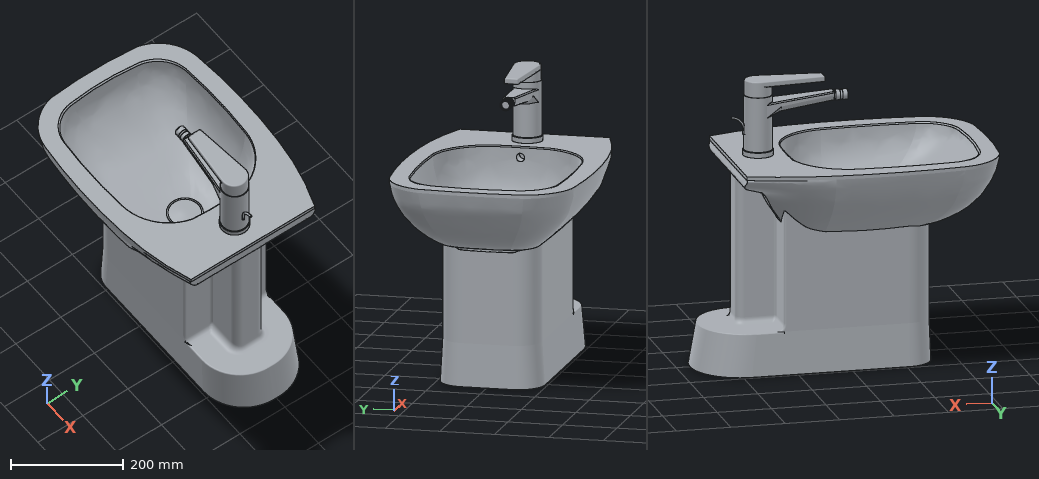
import cadquery as cq
import math


RIM_TOP = 385.0
RIM_BAND = 7.0
RIM_BACK = 479.0
RIM_HALF_WIDTH = 177.0
RIM_BACK_HALF_WIDTH = 138.0
RIM_CORNER = [(5.0, 96.0), (32.0, 143.0), (85.5, 169.0)]
SIDE_END = 323.0
SIDE_END_SHARE = 0.975
FLANK_X_SHARE = 0.52
FLANK_Y_SHARE = 0.64
BOWL_LEVELS = [
    (368.0, 2.0, 481.0, 175.5, 134.5),
    (357.0, 5.0, 476.5, 173.0, 121.0),
    (346.5, 8.0, 454.5, 169.0, 104.5),
    (334.0, 15.0, 435.0, 164.0, 82.5),
    (305.0, 31.5, 417.0, 142.5, 68.5),
    (291.0, 44.0, 408.0, 129.0, 67.0),
    (276.5, 61.5, 399.0, 113.0, 66.0),
    (258.0, 104.0, 384.0, 92.0, 49.5),
    (250.5, 117.5, 373.0, 77.0, 27.5),
]

BASIN_FRONT = 31.0
BASIN_BACK = 374.5
BASIN_HALF_OPENING = [
    (35.0, 71.0, 164),
    (54.0, 114.0, 142),
    (96.5, 136.0, 123),
    (181.5, 140.5, 90),
    (274.0, 138.0, 55),
    (341.5, 108.0, 38),
    (372.0, 55.0, 22),
]
DRAIN_X = 276.0
DRAIN_DIAMETER = 66.0
DRAIN_Z = 258.0
BASIN_LEVELS = [
    (0.0, 1.0, 1.0),
    (0.02, 0.985, 0.985),
    (0.3, 0.9, 0.95),
    (0.6, 0.68, 0.82),
    (0.85, 0.38, 0.55),
    (1.0, 0.0, 0.0),
]
OVERFLOW_DIAMETER = 15.0
OVERFLOW_Z = 364.5
OVERFLOW_DEPTH = 22.0

PEDESTAL_FRONT = 123.0
PEDESTAL_BACK = 398.5
PEDESTAL_HALF_WIDTH = 91.0
PEDESTAL_CORNER = 46.0
PEDESTAL_BACK_ROUND = 4.5
COLUMN_BACK = 471.0
COLUMN_HALF_WIDTH = 31.5
COLUMN_CORNER = 14.0
COLUMN_FOOT_FILLET = 14.0
PLINTH_TOP = 79.0
PLINTH_BACK = 534.5
PLINTH_BACK_FLAT = 5.5
PLINTH_EDGE_FILLET = 3.0
FLOOR_FRONT = 120.0
FLOOR_BACK = 549.0
FLOOR_HALF_WIDTH = 95.5
FLOOR_CORNER = 49.0

PLUG_DIAMETER = 60.0
DRAIN_THICKNESS = 6.5
PLUG_RISE = 4.5

TAP_X = 424.5
BASE_RING_DIAMETER = 55.0
BASE_RING_HEIGHT = 10.5
BASE_RING_CHAMFER = 1.0
TAP_DIAMETER = 52.0
TAP_TOP = 495.5
CAP_DIAMETER = 50.0
CAP_TOP = 525.0
LEVER_TIP = 303.5
LEVER_TIP_HALF_WIDTH = 13.0
LEVER_THICKNESS = 11.0
LEVER_ROUND = 3.0
SPOUT_SECTIONS = [
    (286.5, 11.5, 494.0, 487.5, 476.0),
    (386.5, 20.5, 485.0, 475.5, 462.0),
    (414.5, 23.5, 482.5, 456.0, 448.0),
]
SPOUT_EDGE = 2.0
NOZZLE_FRONT = 261.0
NOZZLE_LENGTH = 10.0
NOZZLE_BORE = 15.0
NOZZLE_BORE_DEPTH = 3.0
NOZZLE_DIAMETER = 20.0
NOZZLE_Z = 485.0
SWIVEL_NECK_DIAMETER = 18.0
SWIVEL_NECK_LENGTH = 4.5
SWIVEL_COLLAR_LENGTH = 8.0
SWIVEL_TAIL_DIAMETER = 16.0
ROD_DIAMETER = 4.5
ROD_X = 450.0
ROD_START_Z = 424.0
ROD_BEND_Z = 432.0
ROD_BEND_RADIUS = 23.0


def mirrored(points):
    return [(x, -y) for x, y in reversed(points)]


def arc_chain(points, height):
    """Chain of arcs: every second point is a joint, the ones between lie on the arcs."""
    chain = cq.Workplane("XY", origin=(0, 0, height)).moveTo(*points[0])
    for on_arc, joint in zip(points[1::2], points[2::2]):
        chain = chain.threePointArc(on_arc, joint)
    return chain


def loft(outlines, ruled=False):
    return cq.Workplane(cq.Solid.makeLoft([outline.val() for outline in outlines], ruled))


def bowl_outline(height, front, back, half_width, back_half_width):
    """Bowl outline: bowed front, round front corners, long sides, flanks closing to a straight back."""
    size = half_width / RIM_HALF_WIDTH
    corner = [(front + x * size, y * size) for x, y in RIM_CORNER]
    side_middle = (corner[-1][0] + SIDE_END) / 2
    side_end_y = SIDE_END_SHARE * half_width
    flank_x = SIDE_END + FLANK_X_SHARE * (back - SIDE_END)
    flank_y = back_half_width + FLANK_Y_SHARE * (side_end_y - back_half_width)
    half = corner + [
        (side_middle, half_width),
        (SIDE_END, side_end_y),
        (flank_x, flank_y),
        (back, back_half_width),
    ]
    return arc_chain(mirrored(half) + [(front, 0)] + half, height).close()


def make_bowl():
    band_bottom = RIM_TOP - RIM_BAND
    rim_sizes = (0, RIM_BACK, RIM_HALF_WIDTH, RIM_BACK_HALF_WIDTH)
    band = bowl_outline(band_bottom, *rim_sizes).extrude(RIM_BAND)
    outlines = [bowl_outline(band_bottom, *rim_sizes)]
    outlines += [bowl_outline(*level) for level in BOWL_LEVELS]
    return band.union(loft(outlines))


def make_basin():
    """Hollow of the bowl, shrinking from the opening in the rim to the round drain."""
    half = BASIN_HALF_OPENING
    other_half = [(x, -y, -angle) for x, y, angle in reversed(half)]
    opening = half + [(BASIN_BACK, 0, 0)] + other_half + [(BASIN_FRONT, 0, 180)] + half[:1]
    outlines = []
    for depth_share, front_share, rear_share in BASIN_LEVELS:
        points = []
        for x, y, angle in opening:
            cosine = math.cos(math.radians(angle))
            sine = math.sin(math.radians(angle))
            rearward = (1 + cosine) / 2
            size_share = front_share + rearward * (rear_share - front_share)
            drain_x = DRAIN_X + DRAIN_DIAMETER / 2 * cosine
            drain_y = DRAIN_DIAMETER / 2 * sine
            points.append((drain_x + size_share * (x - drain_x), drain_y + size_share * (y - drain_y)))
        outlines.append(arc_chain(points, RIM_TOP - depth_share * (RIM_TOP - DRAIN_Z)))
    wires = [outline.wire() for outline in outlines]
    return loft(wires[:2], ruled=True).union(loft(wires[1:]))


def plinth_outline(height, front, back, half_width, corner):
    rear_radius = half_width - PLINTH_BACK_FLAT
    corner_inset = corner * (1 - math.sqrt(0.5))
    rear_reach = rear_radius * math.sqrt(0.5)
    rear_start = back - rear_radius
    return (
        cq.Workplane("XY", origin=(0, 0, height))
        .moveTo(front, corner - half_width)
        .lineTo(front, half_width - corner)
        .threePointArc((front + corner_inset, half_width - corner_inset), (front + corner, half_width))
        .lineTo(rear_start, half_width)
        .threePointArc((rear_start + rear_reach, PLINTH_BACK_FLAT + rear_reach), (back, PLINTH_BACK_FLAT))
        .lineTo(back, -PLINTH_BACK_FLAT)
        .threePointArc((rear_start + rear_reach, -PLINTH_BACK_FLAT - rear_reach), (rear_start, -half_width))
        .lineTo(front + corner, -half_width)
        .threePointArc(
            (front + corner_inset, corner_inset - half_width), (front, corner - half_width)
        )
        .close()
    )


def block(front, back, half_width, bottom, top):
    return cq.Workplane("XY", origin=(front, 0, bottom)).box(
        back - front, 2 * half_width, top - bottom, centered=(False, True, False)
    )


def edges_near_plane(solid, x, half_width, bottom):
    """Edges at the given X, within the half width and above the bottom height."""
    reach = 0.5
    nearest = (x - reach, -half_width - reach, bottom)
    farthest = (x + reach, half_width + reach, RIM_TOP)
    return solid.edges(cq.selectors.BoxSelector(nearest, farthest))


def make_pedestal():
    """Pedestal and its narrow rear column, flaring where their rear meets the plinth top."""
    top = RIM_TOP - RIM_BAND
    wide = 2 * PEDESTAL_HALF_WIDTH
    column = block(PEDESTAL_FRONT, COLUMN_BACK, COLUMN_HALF_WIDTH, PLINTH_TOP, top)
    column = column.edges("|Z and >X").fillet(COLUMN_CORNER)
    pedestal = (
        block(PEDESTAL_FRONT, FLOOR_BACK, wide, 0, PLINTH_TOP)
        .union(block(PEDESTAL_FRONT, PEDESTAL_BACK, wide, PLINTH_TOP, top))
        .union(column)
    )
    pedestal = (
        edges_near_plane(pedestal, PEDESTAL_BACK, COLUMN_HALF_WIDTH, PLINTH_TOP)
        .edges("|Z")
        .fillet(PEDESTAL_BACK_ROUND)
    )
    foot_edges = cq.selectors.BoxSelector(
        (PEDESTAL_BACK - PEDESTAL_BACK_ROUND, -wide, PLINTH_TOP - PEDESTAL_BACK_ROUND),
        (COLUMN_BACK + PEDESTAL_BACK_ROUND, wide, PLINTH_TOP + PEDESTAL_BACK_ROUND),
    )
    pedestal = pedestal.edges(foot_edges).fillet(COLUMN_FOOT_FILLET)

    trim = plinth_outline(PLINTH_TOP, PEDESTAL_FRONT, PLINTH_BACK, PEDESTAL_HALF_WIDTH, PEDESTAL_CORNER)
    pedestal = pedestal.intersect(trim.extrude(top - PLINTH_TOP))
    return (
        edges_near_plane(pedestal, PEDESTAL_BACK, PEDESTAL_HALF_WIDTH, PLINTH_TOP)
        .edges("|Z")
        .edges("<Y or >Y")
        .fillet(PEDESTAL_BACK_ROUND)
    )


def make_plinth():
    plinth = loft(
        [
            plinth_outline(0, FLOOR_FRONT, FLOOR_BACK, FLOOR_HALF_WIDTH, FLOOR_CORNER),
            plinth_outline(PLINTH_TOP, PEDESTAL_FRONT, PLINTH_BACK, PEDESTAL_HALF_WIDTH, PEDESTAL_CORNER),
        ],
        ruled=True,
    )
    rear_edges = cq.selectors.BoxSelector(
        (COLUMN_BACK, -PEDESTAL_HALF_WIDTH, PLINTH_TOP - PLINTH_EDGE_FILLET),
        (FLOOR_BACK, PEDESTAL_HALF_WIDTH, PLINTH_TOP + PLINTH_EDGE_FILLET),
    )
    rounded = plinth.edges(rear_edges).fillet(PLINTH_EDGE_FILLET)
    front_part = block(0, PEDESTAL_BACK, FLOOR_HALF_WIDTH, 0, PLINTH_TOP)
    rear_part = block(PEDESTAL_BACK, FLOOR_BACK, FLOOR_HALF_WIDTH, 0, PLINTH_TOP)
    return plinth.intersect(front_part).union(rounded.intersect(rear_part))


def make_ceramic():
    overflow = (
        cq.Workplane("YZ", origin=(BASIN_BACK - OVERFLOW_DEPTH, 0, OVERFLOW_Z))
        .circle(OVERFLOW_DIAMETER / 2)
        .extrude(2 * OVERFLOW_DEPTH)
    )
    drain_seat = (
        cq.Workplane("XY", origin=(DRAIN_X, 0, DRAIN_Z - DRAIN_THICKNESS))
        .circle(DRAIN_DIAMETER / 2)
        .extrude(2 * DRAIN_THICKNESS)
    )
    ceramic = make_bowl().union(make_pedestal()).union(make_plinth())
    return ceramic.cut(make_basin()).cut(overflow).cut(drain_seat)


def make_drain_ring():
    return (
        cq.Workplane("XY", origin=(DRAIN_X, 0, DRAIN_Z - DRAIN_THICKNESS))
        .circle(DRAIN_DIAMETER / 2)
        .circle(PLUG_DIAMETER / 2)
        .extrude(DRAIN_THICKNESS)
    )


def make_drain_plug():
    radius = PLUG_DIAMETER / 2
    return (
        cq.Workplane("XZ", origin=(DRAIN_X, 0, DRAIN_Z - DRAIN_THICKNESS))
        .lineTo(radius, 0)
        .lineTo(radius, DRAIN_THICKNESS)
        .lineTo(0, DRAIN_THICKNESS + PLUG_RISE)
        .close()
        .revolve(360, (0, 0), (0, 1))
    )


def make_base_ring():
    return (
        cq.Workplane("XY", origin=(TAP_X, 0, RIM_TOP))
        .circle(BASE_RING_DIAMETER / 2)
        .extrude(BASE_RING_HEIGHT)
        .faces(">Z")
        .chamfer(BASE_RING_CHAMFER)
    )


def spout_section(x, half_width, top, side_bottom, bottom):
    """Flat top with bevelled edges, upright sides and a rounded underside."""
    return (
        cq.Workplane("YZ", origin=(x, 0, 0))
        .moveTo(-half_width, side_bottom)
        .lineTo(-half_width, top - SPOUT_EDGE)
        .lineTo(SPOUT_EDGE - half_width, top)
        .lineTo(half_width - SPOUT_EDGE, top)
        .lineTo(half_width, top - SPOUT_EDGE)
        .lineTo(half_width, side_bottom)
        .threePointArc((0, bottom), (-half_width, side_bottom))
        .close()
    )


def make_tap_body(swivel, rod):
    start = RIM_TOP + BASE_RING_HEIGHT
    column = cq.Workplane("XY", origin=(TAP_X, 0, start)).circle(TAP_DIAMETER / 2).extrude(TAP_TOP - start)
    spout = loft([spout_section(*sizes) for sizes in SPOUT_SECTIONS], ruled=True)
    return column.union(spout).cut(swivel).cut(rod)


def make_handle():
    radius = CAP_DIAMETER / 2
    cap = cq.Workplane("XY", origin=(TAP_X, 0, TAP_TOP)).circle(radius).extrude(CAP_TOP - TAP_TOP)
    tip_distance = math.hypot(TAP_X - LEVER_TIP, LEVER_TIP_HALF_WIDTH)
    corner_angle = math.pi - math.atan2(LEVER_TIP_HALF_WIDTH, TAP_X - LEVER_TIP)
    touch_angle = corner_angle - math.acos(radius / tip_distance)
    touch = (TAP_X + radius * math.cos(touch_angle), radius * math.sin(touch_angle))
    lever = (
        cq.Workplane("XY", origin=(0, 0, CAP_TOP - LEVER_THICKNESS))
        .moveTo(LEVER_TIP, LEVER_TIP_HALF_WIDTH)
        .lineTo(*touch)
        .threePointArc((TAP_X + radius, 0), (touch[0], -touch[1]))
        .lineTo(LEVER_TIP, -LEVER_TIP_HALF_WIDTH)
        .close()
        .extrude(LEVER_THICKNESS)
        .edges("|Z and <X")
        .fillet(LEVER_ROUND)
        .faces("<Z")
        .edges()
        .fillet(LEVER_ROUND)
    )
    return cap.union(lever).faces(">Z").edges().fillet(LEVER_ROUND)


def spout_cylinder(start, length, diameter):
    return cq.Workplane("YZ", origin=(start, 0, NOZZLE_Z)).circle(diameter / 2).extrude(length)


def make_nozzle():
    nozzle = spout_cylinder(NOZZLE_FRONT, NOZZLE_LENGTH, NOZZLE_DIAMETER)
    return nozzle.cut(spout_cylinder(NOZZLE_FRONT, NOZZLE_BORE_DEPTH, NOZZLE_BORE))


def make_swivel():
    neck_start = NOZZLE_FRONT + NOZZLE_LENGTH
    collar_start = neck_start + SWIVEL_NECK_LENGTH
    tail_start = collar_start + SWIVEL_COLLAR_LENGTH
    spout_end = SPOUT_SECTIONS[0][0]
    neck = spout_cylinder(neck_start, SWIVEL_NECK_LENGTH, SWIVEL_NECK_DIAMETER)
    collar = spout_cylinder(collar_start, SWIVEL_COLLAR_LENGTH, NOZZLE_DIAMETER)
    tail = spout_cylinder(tail_start, spout_end - tail_start, SWIVEL_TAIL_DIAMETER)
    return neck.union(collar).union(tail)


def make_rod():
    path = (
        cq.Workplane("XZ")
        .moveTo(ROD_X, ROD_START_Z)
        .lineTo(ROD_X, ROD_BEND_Z)
        .radiusArc((ROD_X + ROD_BEND_RADIUS, ROD_BEND_Z + ROD_BEND_RADIUS), ROD_BEND_RADIUS)
    )
    return cq.Workplane("XY", origin=(ROD_X, 0, ROD_START_Z)).circle(ROD_DIAMETER / 2).sweep(path)


ceramic = make_ceramic()
drain_ring = make_drain_ring()
drain_plug = make_drain_plug()
base_ring = make_base_ring()
nozzle = make_nozzle()
swivel = make_swivel()
rod = make_rod()
tap_body = make_tap_body(swivel, rod)
handle = make_handle()

bodies = [ceramic, drain_ring, drain_plug, base_ring, tap_body, handle, nozzle, swivel, rod]
result = cq.Compound.makeCompound([body.solids().val() for body in bodies])